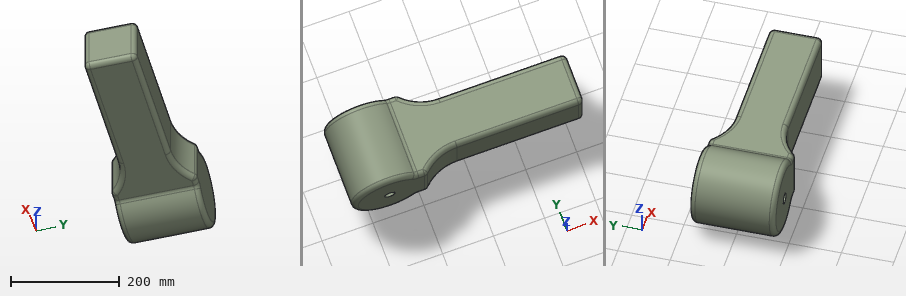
import cadquery as cq
import math

total_length = 464.5
head_diameter = 145.0
head_width = 162.0
arm_size = 100.0
shoulder_radius = 95.0
round_radius = 10.0
bore_diameter = 20.0
bore_depth = 20.0

head_radius = head_diameter / 2
half_width = head_width / 2
half_arm = arm_size / 2
pick_margin = 4.5
arm_end = total_length - head_radius

shoulder_start = head_radius
shoulder_drop = half_width - half_arm
shoulder_length = math.sqrt(shoulder_radius**2 - (shoulder_radius - shoulder_drop)**2)
shoulder_end = shoulder_start + shoulder_length


def side_profile():
    """Round head and straight arm in XZ, extruded across the full head width."""
    head = cq.Workplane("XZ").circle(head_radius).extrude(half_width, both=True)
    arm = (
        cq.Workplane("XZ")
        .center(arm_end / 2, 0)
        .rect(arm_end, arm_size)
        .extrude(half_width, both=True)
    )
    neck_x = math.sqrt(head_radius**2 - half_arm**2)
    neck_selector = cq.selectors.BoxSelector(
        (neck_x - pick_margin, -head_width, -head_width),
        (neck_x + pick_margin, head_width, head_width),
    )
    return head.union(arm).edges("|Y").edges(neck_selector).fillet(round_radius)


def plan_profile():
    """Wide head narrowing through concave shoulders to the arm, extruded in Z."""
    plan = (
        cq.Workplane("XY")
        .moveTo(-head_radius, -half_width)
        .lineTo(shoulder_start, -half_width)
        .radiusArc((shoulder_end, -half_arm), shoulder_radius)
        .lineTo(arm_end, -half_arm)
        .lineTo(arm_end, half_arm)
        .lineTo(shoulder_end, half_arm)
        .radiusArc((shoulder_start, half_width), shoulder_radius)
        .lineTo(-head_radius, half_width)
        .close()
        .extrude(head_radius, both=True)
    )
    corner_selector = cq.selectors.BoxSelector(
        (shoulder_start - pick_margin, -head_width, -pick_margin),
        (shoulder_start + pick_margin, head_width, pick_margin),
    )
    return plan.edges("|Z").edges(corner_selector).fillet(round_radius)


body = side_profile().intersect(plan_profile())

body = body.faces(">X").edges("|Z").fillet(round_radius)
rims = body.edges("not(|Y or |Z)").add(body.faces(">X").edges("|Y"))
body = rims.fillet(round_radius)

bore = cq.Workplane("XZ", origin=(0, -half_width, 0)).circle(bore_diameter / 2).extrude(-bore_depth)
result = body.cut(bore)